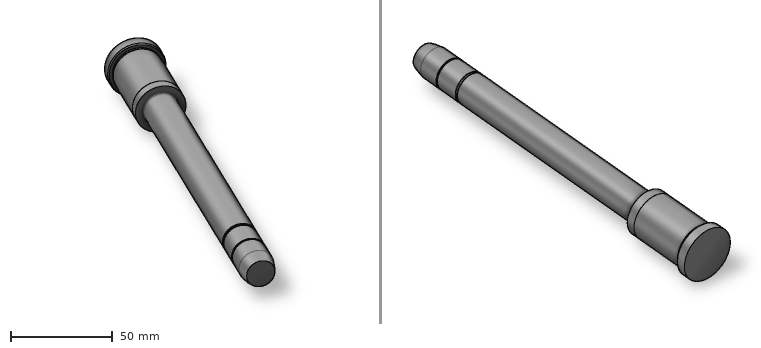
import cadquery as cq

total_length = 211.0
head_length = 6.0
undercut_end = 7.4
lead_start = 39.9
sleeve_end = 45.0
nose_start = 203.6

head_diameter = 30.0
sleeve_diameter = 26.0
undercut_diameter = 25.5
lead_reduction = 0.05
lead_diameter = sleeve_diameter - lead_reduction
shaft_diameter = 18.0
groove_floor_diameter = 17.3
tip_diameter = 14.5

head_chamfer = 0.6
root_fillet = 0.5
nose_bulge = 0.2

grooves = [(176.5, 1.3), (191.4, 0.6)]


def make_body():
    """Revolve the stepped pin profile about the X axis."""
    shaft_radius = shaft_diameter / 2
    tip_radius = tip_diameter / 2
    nose_middle = (
        (nose_start + total_length) / 2,
        (shaft_radius + tip_radius) / 2 + nose_bulge,
    )
    profile = (
        cq.Workplane("XY")
        .lineTo(0, head_diameter / 2)
        .lineTo(head_length - head_chamfer, head_diameter / 2)
        .lineTo(head_length, head_diameter / 2 - head_chamfer)
        .lineTo(head_length, undercut_diameter / 2)
        .lineTo(undercut_end, undercut_diameter / 2)
        .lineTo(undercut_end, sleeve_diameter / 2)
        .lineTo(lead_start, sleeve_diameter / 2)
        .lineTo(lead_start, lead_diameter / 2)
        .lineTo(sleeve_end, lead_diameter / 2)
        .lineTo(sleeve_end, shaft_radius + root_fillet)
        .radiusArc((sleeve_end + root_fillet, shaft_radius), -root_fillet)
        .lineTo(nose_start, shaft_radius)
        .threePointArc(nose_middle, (total_length, tip_radius))
        .lineTo(total_length, 0)
        .close()
    )
    return profile.revolve(360, (0, 0, 0), (1, 0, 0))


def make_groove(start, width):
    """Ring that cuts a shallow groove around the shaft."""
    return (
        cq.Workplane("YZ", origin=(start, 0, 0))
        .circle(head_diameter / 2)
        .circle(groove_floor_diameter / 2)
        .extrude(width)
    )


result = make_body()
for groove_start, groove_width in grooves:
    result = result.cut(make_groove(groove_start, groove_width))